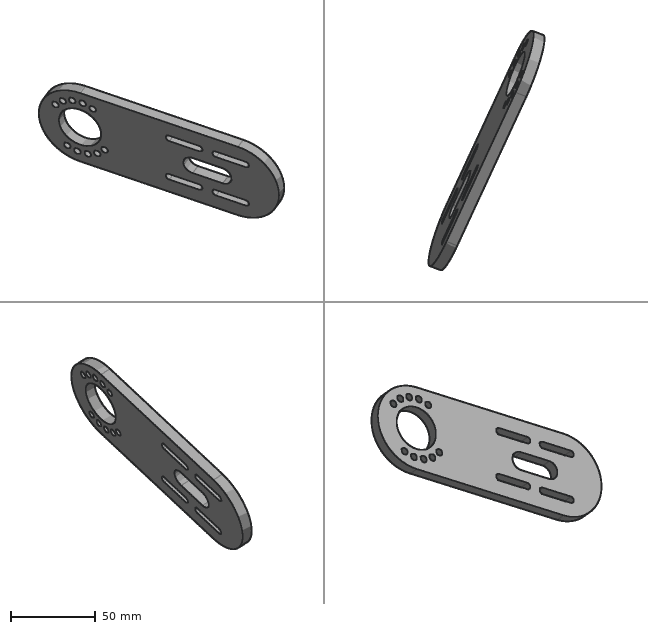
import cadquery as cq
import math

length = 160.0
height = 55.0
thickness = 7.0

bore_x = -(length - height) / 2
bore_diameter = 28.0
ring_hole_diameter = 4.3
ring_radius = 20.0
ring_holes_per_arc = 5
ring_step_angle = 20
ring_start_angles = (65, -115)

slot_group_x = 32.3
center_slot_length = 32.0
center_slot_width = 12.0
narrow_slot_length = 24.3
narrow_slot_width = 4.3
narrow_slot_pitch_x = 31.0
narrow_slot_pitch_z = 30.9


def ring_hole_centers():
    centers = []
    for start_angle in ring_start_angles:
        for i in range(ring_holes_per_arc):
            angle = math.radians(start_angle + i * ring_step_angle)
            x = bore_x + ring_radius * math.cos(angle)
            z = ring_radius * math.sin(angle)
            centers.append((x, z))
    return centers


def make_plate():
    return cq.Workplane("XZ").slot2D(length, height).extrude(thickness / 2, both=True)


def cut_bore_and_ring(plate):
    face = plate.faces("<Y").workplane(origin=(0, 0, 0))
    plate = face.center(bore_x, 0).circle(bore_diameter / 2).cutThruAll()
    face = plate.faces("<Y").workplane(origin=(0, 0, 0))
    return face.pushPoints(ring_hole_centers()).circle(ring_hole_diameter / 2).cutThruAll()


def cut_slots(plate):
    face = plate.faces("<Y").workplane(origin=(slot_group_x, 0, 0))
    plate = face.slot2D(center_slot_length, center_slot_width).cutThruAll()
    face = plate.faces("<Y").workplane(origin=(slot_group_x, 0, 0))
    slots = face.rarray(narrow_slot_pitch_x, narrow_slot_pitch_z, 2, 2)
    return slots.slot2D(narrow_slot_length, narrow_slot_width).cutThruAll()


result = cut_slots(cut_bore_and_ring(make_plate()))